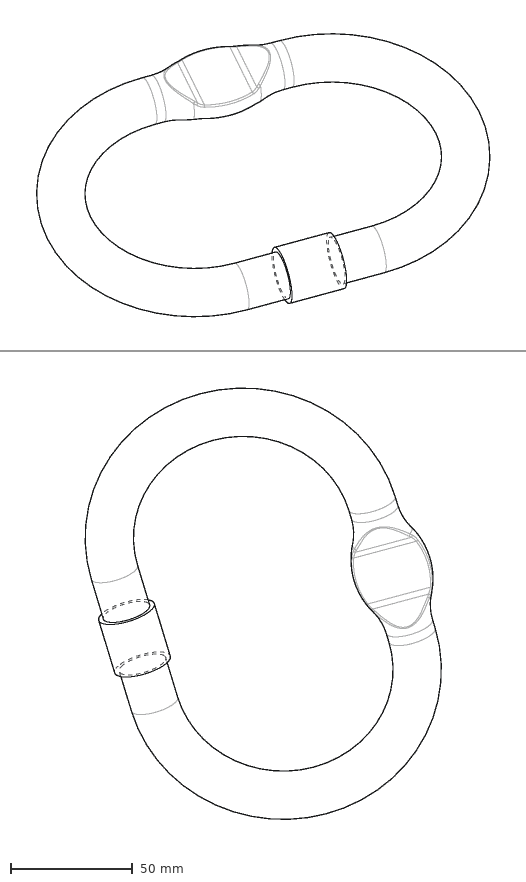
import cadquery as cq
import math

link_length = 189.8
bar_diameter = 20.0
loop_width = 129.9
bar_radius = bar_diameter / 2
bend_radius = (loop_width - bar_diameter) / 2
straight_half = (link_length - loop_width) / 2

sleeve_diameter = 24.0
sleeve_length = 24.0

swell_radius = 16.3
swell_half = 26.0
crest_half = 14.6
flat_half_thickness = 4.0
flat_half_length = 11.8
ramp_angle = 30.0
ramp_blend_radius = 5.0
rim_radius = 0.8


def make_loop():
    """Round bar following an oval path in the XY plane."""
    path = (
        cq.Workplane("XY")
        .moveTo(bend_radius, -straight_half)
        .lineTo(bend_radius, straight_half)
        .threePointArc((0, straight_half + bend_radius), (-bend_radius, straight_half))
        .lineTo(-bend_radius, -straight_half)
        .threePointArc((0, -straight_half - bend_radius), (bend_radius, -straight_half))
        .close()
    )
    section = cq.Workplane("XZ", origin=(bend_radius, -straight_half, 0)).circle(bar_radius)
    return section.sweep(path)


def make_sleeve():
    """Collar around the middle of the +X leg."""
    start = cq.Workplane("XZ", origin=(bend_radius, sleeve_length / 2, 0))
    return start.circle(sleeve_diameter / 2).extrude(sleeve_length)


def make_swelling():
    """Turned swelling: a convex crest flowing tangentially into the bar at both ends."""
    turn_angle = 2 * math.atan((swell_radius - bar_radius) / swell_half)
    crest_arc = crest_half / math.sin(turn_angle)
    neck_arc = (swell_half - crest_half) / math.sin(turn_angle)
    crest_end_radius = swell_radius - crest_arc * (1 - math.cos(turn_angle))
    neck_mid_radius = bar_radius + neck_arc * (1 - math.cos(turn_angle / 2))
    neck_mid = swell_half - neck_arc * math.sin(turn_angle / 2)
    profile = (
        cq.Workplane("XY", origin=(-bend_radius, 0, 0))
        .moveTo(0, -swell_half)
        .lineTo(bar_radius, -swell_half)
        .threePointArc((neck_mid_radius, -neck_mid), (crest_end_radius, -crest_half))
        .threePointArc((swell_radius, 0), (crest_end_radius, crest_half))
        .threePointArc((neck_mid_radius, neck_mid), (bar_radius, swell_half))
        .lineTo(0, swell_half)
        .close()
    )
    return profile.revolve(360, (0, 0, 0), (0, 1, 0))


def make_flat_cutter():
    """Trough-shaped tool above the leg: a flat floor with a blended ramp at each end."""
    ramp_rise = bar_diameter
    ramp_run = ramp_rise / math.tan(math.radians(ramp_angle))
    cutter = (
        cq.Workplane("YZ", origin=(-bend_radius, 0, 0))
        .moveTo(-flat_half_length, flat_half_thickness)
        .lineTo(flat_half_length, flat_half_thickness)
        .lineTo(flat_half_length + ramp_run, flat_half_thickness + ramp_rise)
        .lineTo(-flat_half_length - ramp_run, flat_half_thickness + ramp_rise)
        .close()
        .extrude(2 * swell_radius, both=True)
    )
    return cutter.edges("|X").edges("<Z").fillet(ramp_blend_radius)


def round_rims(body):
    """Round the curved edges where the side wall meets the flats and ramps."""
    swelling_zone = cq.selectors.BoxSelector(
        (-bend_radius - swell_radius, -swell_half, -swell_radius),
        (-bend_radius + swell_radius, swell_half, swell_radius),
    )
    return body.edges("%BSPLINE").edges(swelling_zone).fillet(rim_radius)


link = make_loop().union(make_swelling()).union(make_sleeve())
upper_cutter = make_flat_cutter()
lower_cutter = upper_cutter.mirror("XY")
result = round_rims(link.cut(upper_cutter).cut(lower_cutter))